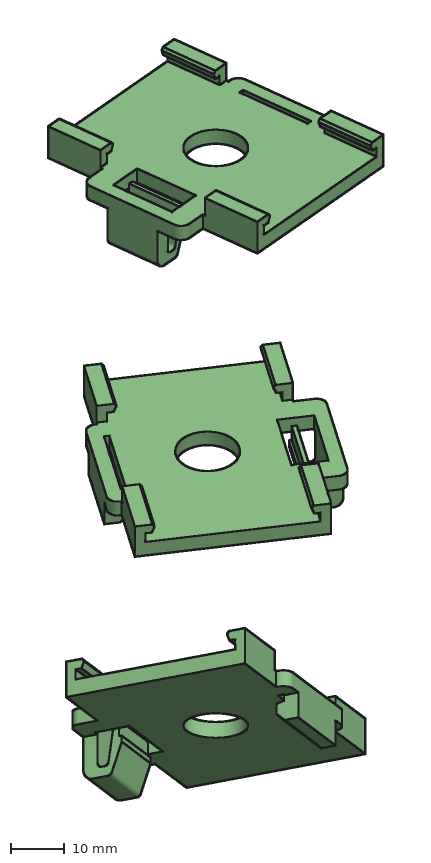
import cadquery as cq

length = 50.0
plate_width = 37.1
plate_thickness = 3.2
bore_diameter = 12.0

tongue_width = 24.0
tongue_front = -24.5
tongue_back = 21.0
tongue_corner_radius = 2.0

hook_length = 12.5
hook_wall = 2.0
hook_top = 7.1
hook_underside = 5.2
hook_tip_height = 6.55
hook_reach = 3.75
hook_top_reach = 3.3
hook_underside_reach = 3.2

catch_width = 15.5
catch_wall = 3.0
catch_reach = 4.5
catch_depth = 5.0
catch_neck_depth = 1.1
catch_lip_depth = 1.4
catch_chamfer_depth = 3.5
catch_slot_width = 16.2
catch_slot_depth = 1.0

clip_width = 12.0
clip_wall = 3.0
clip_depth = 8.7
clip_outer_radius = 2.0
clip_heel_radius = 1.0
clip_gap_floor = -6.65
clip_gap_radius = 0.85
clip_gap_width = 2.15
finger_top = 2.1
finger_thickness = 1.0
finger_back = -17.05
finger_lip_back = -16.5
finger_neck_bottom = -1.1
finger_lip_top = -1.2
finger_lip_bottom = -2.4
heel_back = -18.75
window_width = 14.0
window_back = -14.5


def extrude_along_x(points, width, center_x=0.0):
    """Extrude a closed (y, z) outline symmetrically about center_x."""
    outline = cq.Workplane("YZ", origin=(center_x, 0, 0)).polyline(points).close()
    return outline.extrude(width / 2, both=True)


def through_box(width, y_start, y_end):
    """Cutter of the plate's thickness, centred on x = 0."""
    cutter = cq.Workplane("XY").box(width, y_end - y_start, plate_thickness, centered=(True, False, False))
    return cutter.translate((0, y_start, 0))


def make_plate():
    plate = cq.Workplane("XY").box(length, plate_width, plate_thickness, centered=(True, True, False))
    tongue = through_box(tongue_width, tongue_front, tongue_back)
    tongue = tongue.edges("|Z").fillet(tongue_corner_radius)
    return plate.union(tongue)


def make_hook(side_x, side_y):
    """One inward-facing hook at the plate corner given by the two signs."""
    section = [
        (0, 0),
        (0, hook_top),
        (hook_top_reach, hook_top),
        (hook_reach, hook_tip_height),
        (hook_underside_reach, hook_underside),
        (hook_wall, hook_underside),
        (hook_wall, 0),
    ]
    points = [(side_y * (plate_width / 2 - inward), z) for inward, z in section]
    return extrude_along_x(points, hook_length, side_x * (length - hook_length) / 2)


def make_catch():
    neck = tongue_back - catch_wall
    lip = tongue_back - catch_reach
    points = [
        (tongue_back, 0),
        (neck, 0),
        (neck, -catch_neck_depth),
        (lip, -catch_lip_depth),
        (lip, -catch_chamfer_depth),
        (neck, -catch_depth),
        (tongue_back, -catch_depth),
    ]
    return extrude_along_x(points, catch_width)


def make_clip():
    """U-shaped spring: front wall, rounded base and a slanted free finger."""
    wall_back = tongue_front + clip_wall
    outer = [
        (tongue_front, 0),
        (tongue_front, -clip_depth),
        (heel_back, -clip_depth),
        (finger_lip_back, finger_lip_bottom),
        (finger_lip_back, finger_lip_top),
        (finger_back, finger_neck_bottom),
        (finger_back, finger_top),
        (wall_back, finger_top),
        (wall_back, 0),
    ]
    gap = [
        (wall_back, finger_top),
        (wall_back, clip_gap_floor),
        (wall_back + clip_gap_width, clip_gap_floor),
        (finger_back - finger_thickness, finger_top),
    ]
    body = extrude_along_x(outer, clip_width)
    body = body.edges("|X and <Z").edges("<Y").fillet(clip_outer_radius)
    body = body.edges("|X and <Z").edges(">Y").fillet(clip_heel_radius)
    gap_cutter = extrude_along_x(gap, clip_width).edges("|X and <Z").fillet(clip_gap_radius)
    return body.cut(gap_cutter)


result = make_plate()
for x_sign in (-1, 1):
    for y_sign in (-1, 1):
        result = result.union(make_hook(x_sign, y_sign))

bore = cq.Workplane("XY").circle(bore_diameter / 2).extrude(plate_thickness)
catch_slot_back = tongue_back - catch_wall
result = result.cut(bore)
result = result.cut(through_box(catch_slot_width, catch_slot_back - catch_slot_depth, catch_slot_back))
result = result.cut(through_box(window_width, tongue_front + clip_wall, window_back))

result = result.union(make_catch()).union(make_clip())